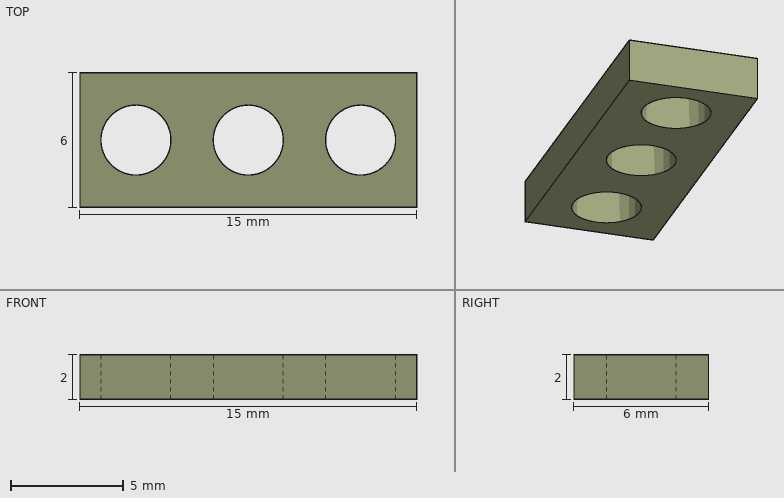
import cadquery as cq

length = 15.0
width = 6.0
thickness = 2.0

hole_count = 3
hole_diameter = 3.1
hole_pitch = length / hole_count

plate = cq.Workplane("XY").box(length, width, thickness)

result = (
    plate.faces(">Z")
    .workplane()
    .rarray(hole_pitch, width, hole_count, 1)
    .hole(hole_diameter)
)